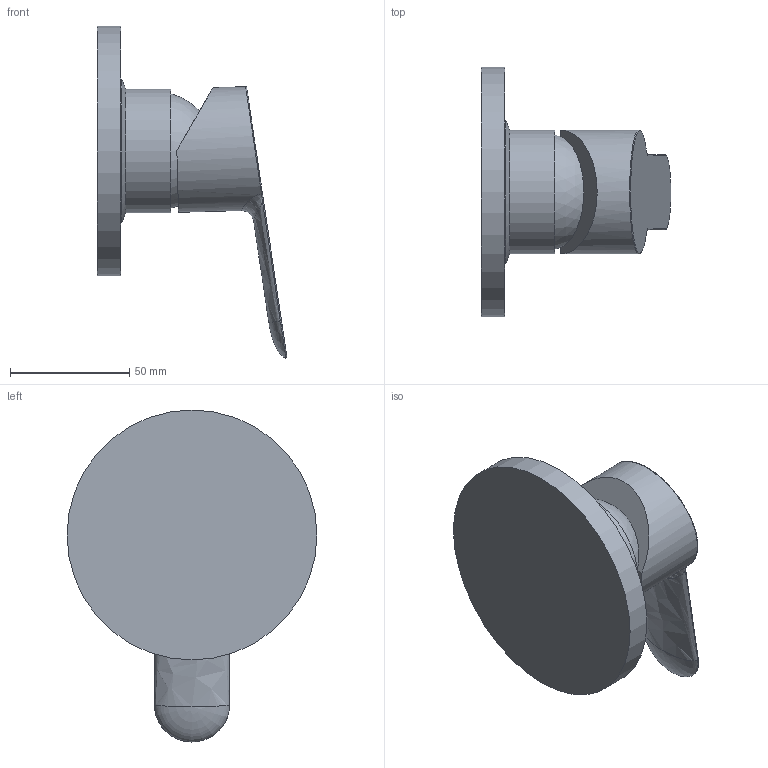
import cadquery as cq
import math


plate_radius = 105 / 2
plate_thickness = 10

collar_radius = 60 / 2
collar_land = 0.4
collar_end = plate_thickness + 2

barrel_radius = 26
barrel_end = 31

ball_center = 25
ball_neck_radius = 24
ball_radius = math.hypot(barrel_end - ball_center, ball_neck_radius)
ball_shoulder = (
    ball_center + ball_radius * math.cos(math.radians(45)),
    ball_radius * math.sin(math.radians(45)),
)

handle_tilt = 1.5
head_radius = 26
head_back = 8.5
head_back_slope = 58.5
head_relief_length = head_radius / math.tan(math.radians(head_back_slope))
face_tilt = 7
face_lean = math.tan(math.radians(face_tilt))

lever_half_width = 15.85
lever_depth = 5.4
lever_tip_along = 52.5
lever_tip_drop = 88.37
lever_length = lever_tip_drop / math.cos(math.radians(face_tilt))
lever_straight = lever_length - lever_half_width
face_on_axis = lever_tip_along - lever_tip_drop * face_lean
lever_root_fillet = 5
face_edge_round = 0.4


def make_body():
    """Plate, collar, barrel and ball as one turned profile."""
    return (
        cq.Workplane("XY")
        .lineTo(0, plate_radius)
        .lineTo(plate_thickness, plate_radius)
        .lineTo(plate_thickness, collar_radius)
        .lineTo(plate_thickness + collar_land, collar_radius)
        .lineTo(collar_end, barrel_radius)
        .lineTo(barrel_end, barrel_radius)
        .lineTo(barrel_end, ball_neck_radius)
        .threePointArc(ball_shoulder, (ball_center + ball_radius, 0))
        .close()
        .revolve(360, (0, 0, 0), (1, 0, 0))
    )


def make_head():
    """Cylinder along X cut to a side outline: relieved upper back and a leaning front face."""
    outline = (
        cq.Workplane("XZ")
        .moveTo(head_back, -head_radius)
        .lineTo(head_back, 0)
        .lineTo(head_back + head_relief_length, head_radius)
        .lineTo(face_on_axis - head_radius * face_lean, head_radius)
        .lineTo(face_on_axis + head_radius * face_lean, -head_radius)
        .close()
        .extrude(head_radius, both=True)
    )
    cylinder = cq.Workplane("YZ").circle(head_radius).extrude(lever_tip_along)
    return cylinder.intersect(outline)


def make_lever():
    """Half-elliptical bar with a turned tip; its flat front lies in the head's front face."""
    bar = (
        cq.Workplane("XY")
        .ellipseArc(lever_depth, lever_half_width, 90, 270, startAtCurrent=False)
        .close()
        .extrude(-lever_straight)
    )
    tip = (
        cq.Workplane("XY")
        .ellipseArc(lever_depth, lever_half_width, 90, 180, startAtCurrent=False)
        .lineTo(0, 0)
        .close()
        .revolve(360, (0, 0, 0), (1, 0, 0))
        .translate((0, 0, -lever_straight))
    )
    return (
        bar.union(tip)
        .rotate((0, 0, 0), (0, 1, 0), -face_tilt)
        .translate((face_on_axis, 0, 0))
    )


def make_handle():
    """Head and lever blended together, eased round the front face, then tilted about the ball."""
    handle = make_head().union(make_lever()).clean()
    handle = handle.edges("%BSPLINE").fillet(lever_root_fillet)
    lean = math.radians(face_tilt)
    face_normal = cq.Vector(math.cos(lean), 0, math.sin(lean))
    front_face = handle.faces(cq.DirectionMinMaxSelector(face_normal))
    handle = front_face.edges().fillet(face_edge_round)
    return handle.rotate((0, 0, 0), (0, 1, 0), -handle_tilt).translate((ball_center, 0, 0))


result = make_body().union(make_handle())